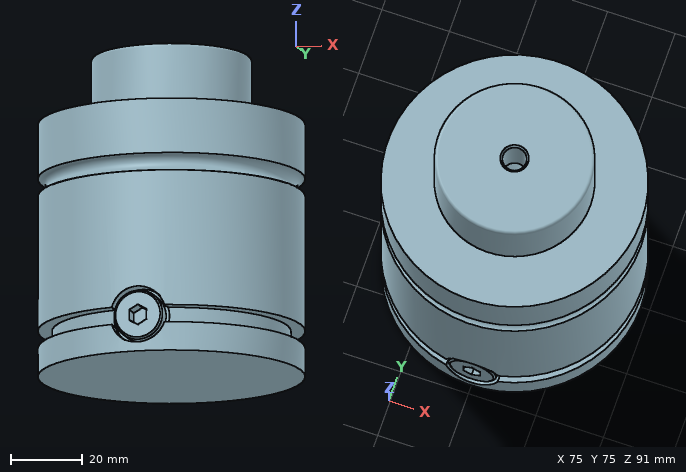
import cadquery as cq
import math

total_height = 91.0
body_diameter = 75.0
body_height = 72.1
boss_diameter = 45.0
boss_edge_radius = 1.0

round_groove_radius = 2.5
round_groove_height = 54.05

square_groove_width = 4.9
square_groove_depth = 4.0
square_groove_height = 10.6

hole_diameter = 6.8
hole_mouth_diameter = 8.0
hole_depth = 13.65
drill_point_angle = 118.0

seat_diameter = 16.0
seat_floor_offset = 32.4
plug_face_offset = 36.95
plug_diameter = 14.0
plug_chamfer = 0.55
socket_across_flats = 5.0
socket_depth = 5.0

body_radius = body_diameter / 2
groove_floor_radius = body_radius - square_groove_depth


def side_cylinder(diameter, inner_offset, outer_offset):
    """Cylinder along -Y between two distances from the body axis."""
    return (
        cq.Workplane("XZ", origin=(0, -inner_offset, square_groove_height))
        .circle(diameter / 2)
        .extrude(outer_offset - inner_offset)
    )


def make_body():
    body = cq.Workplane("XY").circle(body_radius).extrude(body_height)
    boss = (
        cq.Workplane("XY", origin=(0, 0, body_height))
        .circle(boss_diameter / 2)
        .extrude(total_height - body_height)
        .faces(">Z")
        .fillet(boss_edge_radius)
    )
    return body.union(boss)


def make_round_groove():
    return (
        cq.Workplane("XZ")
        .center(body_radius, round_groove_height)
        .circle(round_groove_radius)
        .revolve(360, (-body_radius, 0), (-body_radius, 1))
    )


def make_square_groove():
    bottom = square_groove_height - square_groove_width / 2
    return (
        cq.Workplane("XY", origin=(0, 0, bottom))
        .circle(body_radius)
        .circle(groove_floor_radius)
        .extrude(square_groove_width)
    )


def make_top_hole():
    """Drilled hole with a conical bottom and a 45 degree countersunk mouth."""
    hole_radius = hole_diameter / 2
    mouth_radius = hole_mouth_diameter / 2
    floor = total_height - hole_depth
    point_height = hole_radius / math.tan(math.radians(drill_point_angle / 2))
    return (
        cq.Workplane("XZ")
        .moveTo(0, floor - point_height)
        .lineTo(hole_radius, floor)
        .lineTo(hole_radius, total_height - (mouth_radius - hole_radius))
        .lineTo(mouth_radius, total_height)
        .lineTo(0, total_height)
        .close()
        .revolve(360, (0, 0), (0, 1))
    )


def add_plug(body):
    """Bore the plug seat, leave the plug standing in it and cut its hexagon socket."""
    seat = side_cylinder(seat_diameter, seat_floor_offset, body_radius)
    plug = side_cylinder(plug_diameter, seat_floor_offset, plug_face_offset).faces("<Y").chamfer(plug_chamfer)
    socket = (
        cq.Workplane("XZ", origin=(0, -plug_face_offset, square_groove_height))
        .polygon(6, socket_across_flats, circumscribed=True)
        .extrude(-socket_depth)
    )
    return body.cut(seat).union(plug).cut(socket)


grooved_body = make_body().cut(make_round_groove()).cut(make_square_groove())
result = add_plug(grooved_body.cut(make_top_hole()))